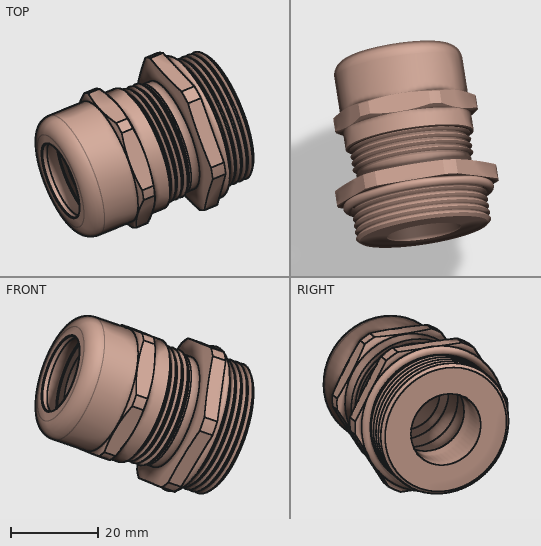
import cadquery as cq
import math


axis_turn = 22.19
axis_dip = 17.67
hexagon_roll = 1.2

cap_diameter = 29.72
cap_length = 20.57
cap_face_diameter = 22.75
cap_round = (cap_diameter - cap_face_diameter) / 2
mouth_diameter = 18.55
lip_diameter = 18.14
lip_chamfer = (mouth_diameter - lip_diameter) / 2
lip_end = 1.36
cavity_diameter = 23.1
cone_end = 5.0
cap_hex_flats = 29.97
cap_hex_corners = 33.11
cap_hex_start = 12.24
cap_hex_end = 16.56
cap_hex_slope = 0.41

seal_start = 5.32
seal_end = 17.44
seal_diameter = 22.9
seal_bore = 16.2

cap_pitch = 1.55
cap_crest_width = 0.05
cap_root_width = 0.3
cap_thread_crest = 28.0
cap_thread_root = 26.2
cap_thread_first = 20.88
cap_thread_count = 4

end_pitch = 1.54
end_crest_width = 0.06
end_root_width = 0.08
end_thread_crest = 31.41
end_thread_root = 29.84
end_thread_first = 35.34
end_thread_count = 5

body_start = 10.0
neck_start = 26.86
neck_diameter = 26.72
body_hex_flats = 34.01
body_hex_corners = 37.5
body_hex_start = 29.02
body_hex_end = 33.08
body_hex_slope = 0.13
body_bore = 20.56
deep_bore = 20.58
bore_step = 23.2
bore_shoulder = 31.67
cable_bore = 17.14

ring_section = 2.0
ring_outer = 34.95


def gland_location():
    """Places local Z on the gland axis and a hexagon corner near -Y."""
    turn = math.radians(axis_turn)
    dip = math.radians(axis_dip)
    level = math.cos(dip)
    axis = cq.Vector(math.cos(turn) * level, math.sin(turn) * level, -math.sin(dip))
    front = cq.Vector(0, -1, 0)
    corner = front - axis * front.dot(axis)
    plane = cq.Plane(origin=(0, 0, 0), xDir=corner.toTuple(), normal=axis.toTuple())
    return plane.rotated((0, 0, hexagon_roll)).location


def turned(points):
    """A solid of revolution about Z from (radius, height) points."""
    outline = cq.Workplane("XZ").polyline(points).close()
    return outline.revolve(360, (0, 0, 0), (0, 1, 0))


def hexagon(flats, start, end):
    corners = flats / math.cos(math.radians(30))
    return cq.Workplane("XY").workplane(offset=start).polygon(6, corners).extrude(end - start)


def flank_run(pitch, crest_width, root_width):
    """Axial length of one sloping flank."""
    return (pitch - crest_width - root_width) / 2


def thread_outline(first, pitch, count, crest, root, crest_width, root_width):
    """(radius, height) points of the rings; each ring is a crest, a flank and a root."""
    flank = flank_run(pitch, crest_width, root_width)
    points = []
    for i in range(count):
        crest_start = first + i * pitch
        crest_end = crest_start + crest_width
        points.append((crest / 2, crest_start))
        points.append((crest / 2, crest_end))
        points.append((root / 2, crest_end + flank))
        points.append((root / 2, crest_end + flank + root_width))
    return points


def cap_shell():
    """The rounded outside of the cap nut, still solid."""
    radius = cap_diameter / 2
    face = cap_face_diameter / 2
    inset = cap_round * (1 - math.sqrt(0.5))
    outline = (
        cq.Workplane("XZ")
        .lineTo(face, 0)
        .threePointArc((radius - inset, inset), (radius, cap_round))
        .lineTo(radius, cap_length)
        .lineTo(0, cap_length)
        .close()
    )
    return outline.revolve(360, (0, 0, 0), (0, 1, 0))


def cap_hexagon():
    """The wrench hexagon, bevelled at both ends."""
    radius = cap_diameter / 2
    corner = cap_hex_corners / 2
    bevel = (corner - radius) * cap_hex_slope
    limit = turned([
        (0, cap_hex_start),
        (radius, cap_hex_start),
        (corner, cap_hex_start + bevel),
        (corner, cap_hex_end - bevel),
        (radius, cap_hex_end),
        (0, cap_hex_end),
    ])
    return hexagon(cap_hex_flats, cap_hex_start, cap_hex_end).intersect(limit)


def cap_cavity():
    """Chamfered mouth, lip, cone, seal cavity and the bore that holds the body."""
    lip = lip_diameter / 2
    cavity = cavity_diameter / 2
    neck = neck_diameter / 2
    return turned([
        (0, 0),
        (mouth_diameter / 2, 0),
        (lip, lip_chamfer),
        (lip, lip_end),
        (cavity, cone_end),
        (cavity, body_start),
        (neck, body_start),
        (neck, cap_length),
        (0, cap_length),
    ])


def make_cap_nut():
    return cap_shell().union(cap_hexagon()).cut(cap_cavity())


def make_sealing_insert():
    bore = seal_bore / 2
    outside = seal_diameter / 2
    return turned([(bore, seal_start), (outside, seal_start), (outside, seal_end), (bore, seal_end)])


def body_shell():
    """The turned part of the body with both threads and the stepped bore."""
    neck = neck_diameter / 2
    seat = seal_diameter / 2
    end_root = end_thread_root / 2
    inside_hexagon = (body_hex_start + body_hex_end) / 2
    first_flank = flank_run(end_pitch, end_crest_width, end_root_width)
    cap_thread = thread_outline(
        cap_thread_first, cap_pitch, cap_thread_count, cap_thread_crest, cap_thread_root,
        cap_crest_width, cap_root_width,
    )
    end_thread = thread_outline(
        end_thread_first, end_pitch, end_thread_count, end_thread_crest, end_thread_root,
        end_crest_width, end_root_width,
    )
    end_thread.pop()
    body_end = end_thread[-1][1]

    outside = [(seat, body_start), (neck, body_start), (neck, cap_length)]
    outside.append((cap_thread_root / 2, cap_length))
    outside += cap_thread
    outside += [(neck, neck_start), (neck, inside_hexagon), (end_root, inside_hexagon)]
    outside.append((end_root, end_thread_first - first_flank))
    outside += end_thread
    bore = [
        (cable_bore / 2, body_end),
        (cable_bore / 2, bore_shoulder),
        (deep_bore / 2, bore_shoulder),
        (deep_bore / 2, bore_step),
        (body_bore / 2, bore_step),
        (body_bore / 2, seal_end),
        (seat, seal_end),
    ]
    return turned(outside + bore)


def body_hexagon():
    """The wrench hexagon with a slightly conical front face, open around the neck."""
    neck = neck_diameter / 2
    corner = body_hex_corners / 2
    limit = turned([
        (neck, body_hex_start),
        (corner, body_hex_start + (corner - neck) * body_hex_slope),
        (corner, body_hex_end),
        (neck, body_hex_end),
    ])
    return hexagon(body_hex_flats, body_hex_start, body_hex_end).intersect(limit)


def make_o_ring():
    """A round ring that rests on the back of the body hexagon."""
    section = ring_section / 2
    middle = ring_outer / 2 - section
    outline = cq.Workplane("XZ").center(middle, body_hex_end + section).circle(section)
    return outline.revolve(360, (-middle, 0, 0), (-middle, 1, 0))


cap_nut = make_cap_nut()
sealing_insert = make_sealing_insert()
o_ring = make_o_ring()
body = body_shell().union(body_hexagon()).cut(o_ring)

place = gland_location()
result = cq.Compound.makeCompound([
    cap_nut.val().moved(place),
    sealing_insert.val().moved(place),
    body.val().moved(place),
    o_ring.val().moved(place),
])